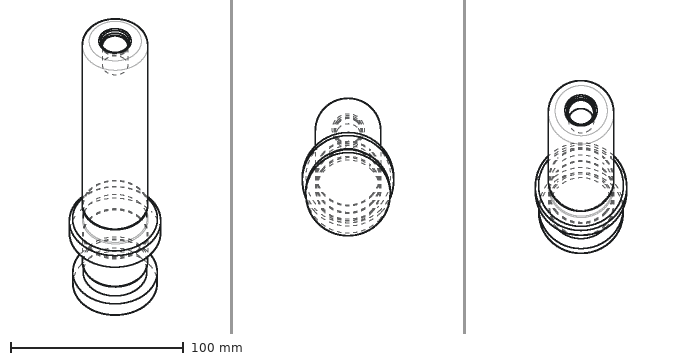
import cadquery as cq
import math

TOTAL_HEIGHT = 215.0

WASHER_DIAMETER = 49.0
WASHER_THICKNESS = 10.0

PILLAR_DIAMETER = 38.0
NECK_DIAMETER = 37.0
TOP_FILLET = 3.9
NECK_STEP = (PILLAR_DIAMETER - NECK_DIAMETER) / 2
SEAT_TAPER_LENGTH = 1.3
NECK_FILLET = 0.6

COLLAR_DIAMETER = 53.0
COLLAR_BOTTOM = 45.0
COLLAR_TOP = 57.2
COLLAR_TOP_CHAMFER = 2.0

LOWER_NECK_TOP = 18.0
UPPER_NECK_TOP = 69.5
UNDERCUT_HEIGHT = 1.0

HOLE_DIAMETER = 14.6
HOLE_DEPTH = 21.5
RECESS_DIAMETER = 15.5
RECESS_DEPTH = 4.0
TAPER_DIAMETER = 16.8
TAPER_DEPTH = 2.2
MOUTH_DIAMETER = 18.7
MOUTH_DEPTH = 0.54
DRILL_POINT_ANGLE = 120.0


def disc(diameter, bottom, top):
    """Solid cylinder about the Z axis between two heights."""
    return cq.Workplane("XY", origin=(0, 0, bottom)).circle(diameter / 2).extrude(top - bottom)


def make_washer():
    """Flat washer that closes the bottom of the assembly."""
    return disc(WASHER_DIAMETER, 0, WASHER_THICKNESS)


def make_collar():
    """Fixing collar with a chamfered top rim."""
    collar = disc(COLLAR_DIAMETER, COLLAR_BOTTOM, COLLAR_TOP)
    return collar.faces(">Z").edges().chamfer(COLLAR_TOP_CHAMFER)


def make_hole():
    """Blind drilled hole with a conical bottom, a shallow recess and a tapered, chamfered mouth."""
    radius = HOLE_DIAMETER / 2
    floor = TOTAL_HEIGHT - HOLE_DEPTH
    point_depth = radius / math.tan(math.radians(DRILL_POINT_ANGLE / 2))
    return (
        cq.Workplane("XZ")
        .moveTo(0, floor - point_depth)
        .lineTo(radius, floor)
        .lineTo(radius, TOTAL_HEIGHT - RECESS_DEPTH)
        .lineTo(RECESS_DIAMETER / 2, TOTAL_HEIGHT - RECESS_DEPTH)
        .lineTo(RECESS_DIAMETER / 2, TOTAL_HEIGHT - TAPER_DEPTH)
        .lineTo(TAPER_DIAMETER / 2, TOTAL_HEIGHT - MOUTH_DEPTH)
        .lineTo(MOUTH_DIAMETER / 2, TOTAL_HEIGHT)
        .lineTo(0, TOTAL_HEIGHT)
        .close()
        .revolve(360, (0, 0, 0), (0, 1, 0))
    )


def make_neck_fillet():
    """Concave fillet ring where the upper neck rises from the collar."""
    radius = NECK_DIAMETER / 2
    diagonal = NECK_FILLET * (1 - math.sqrt(0.5))
    return (
        cq.Workplane("XZ")
        .moveTo(0, COLLAR_TOP)
        .lineTo(radius + NECK_FILLET, COLLAR_TOP)
        .threePointArc((radius + diagonal, COLLAR_TOP + diagonal), (radius, COLLAR_TOP + NECK_FILLET))
        .lineTo(0, COLLAR_TOP + NECK_FILLET)
        .close()
        .revolve(360, (0, 0, 0), (0, 1, 0))
    )


def make_pillar():
    """Stepped guide pillar with its collar, standing on the washer."""
    core = disc(NECK_DIAMETER, WASHER_THICKNESS, UPPER_NECK_TOP)
    seat = disc(PILLAR_DIAMETER, LOWER_NECK_TOP, COLLAR_BOTTOM - UNDERCUT_HEIGHT)
    seat = seat.faces("<Z").edges().chamfer(SEAT_TAPER_LENGTH, NECK_STEP)
    guide = disc(PILLAR_DIAMETER, UPPER_NECK_TOP, TOTAL_HEIGHT)
    guide = guide.faces(">Z").edges().fillet(TOP_FILLET)
    pillar = core.union(seat).union(make_collar()).union(make_neck_fillet()).union(guide)
    return pillar.cut(make_hole())


washer = make_washer()
pillar = make_pillar()
result = cq.Compound.makeCompound([washer.val(), pillar.val()])